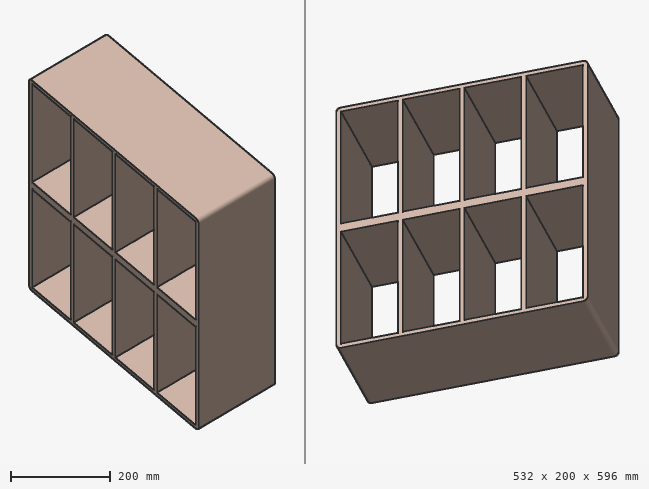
import cadquery as cq

width = 532.0
depth = 200.0
height = 596.0

wall = 10.0
divider = 10.0
shelf = 20.0
corner_radius = 10.0

columns = 4
rows = 2
cell_width = (width - 2 * wall - (columns - 1) * divider) / columns
cell_height = (height - 2 * wall - (rows - 1) * shelf) / rows


def make_body():
    """Solid block with its four long edges, parallel to Y, rounded."""
    return cq.Workplane("XY").box(width, depth, height).edges("|Y").fillet(corner_radius)


def make_cells():
    """Rectangular openings that run through the full depth."""
    return (
        cq.Workplane("XZ")
        .rarray(cell_width + divider, cell_height + shelf, columns, rows)
        .rect(cell_width, cell_height)
        .extrude(depth, both=True)
    )


result = make_body().cut(make_cells())